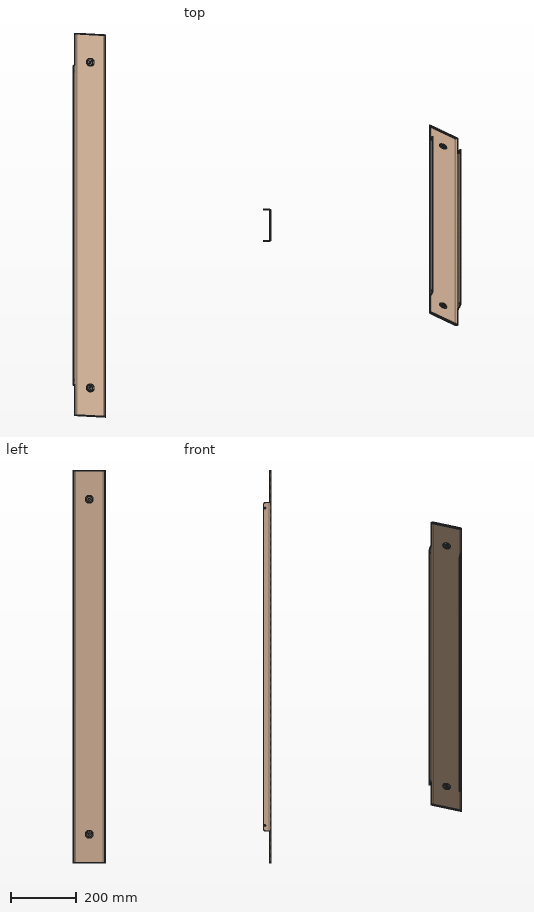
import cadquery as cq

DEPTH = 23.99
WIDTH = 98.11
LENGTH = 1195.0

THICKNESS = 2.0
BEND_INNER_RADIUS = 5.0
BEND_OUTER_RADIUS = BEND_INNER_RADIUS + THICKNESS

RIM_DEPTH = 5.5

FLANGE_LENGTH = 1000.0
FLANGE_CORNER_RADIUS = 8.0
FLANGE_HOLE_DIAMETER = 4.0
FLANGE_HOLE_EDGE_DISTANCE = 5.0
FLANGE_HOLE_END_DISTANCE = 17.5

DIMPLE_END_DISTANCE = 88.0
DIMPLE_BASE_DIAMETER = 24.0
DIMPLE_TOP_DIAMETER = 16.0
DIMPLE_HEIGHT = 3.0
DIMPLE_HOLE_DIAMETER = 6.0

FLANGE_EDGE_X = -DEPTH / 2
WEB_OUTER_X = DEPTH / 2
WEB_INNER_X = WEB_OUTER_X - THICKNESS
RIM_EDGE_X = WEB_OUTER_X - RIM_DEPTH


def box(x_min, x_max, width, length):
    """Block spanning x_min to x_max, centred in Y and Z."""
    return cq.Workplane("XY").box(x_max - x_min, width, length).translate(((x_min + x_max) / 2, 0, 0))


def end_lips():
    """Lips one sheet thick that close both ends of the web up to the rim edge."""
    lip = box(RIM_EDGE_X, WEB_OUTER_X, WIDTH, LENGTH)
    return lip.cut(box(FLANGE_EDGE_X, WEB_OUTER_X, WIDTH, LENGTH - 2 * THICKNESS))


def channel():
    """Full-length U channel with rounded bends and end lips, open toward -X."""
    outer = box(FLANGE_EDGE_X, WEB_OUTER_X, WIDTH, LENGTH).edges(">X and |Z").fillet(BEND_OUTER_RADIUS)
    inner = box(FLANGE_EDGE_X, WEB_INNER_X, WIDTH - 2 * THICKNESS, LENGTH)
    inner = inner.edges(">X and |Z").fillet(BEND_INNER_RADIUS)
    inner = inner.cut(end_lips())
    return outer.cut(inner)


def outline_envelope():
    """Region kept: the shortened, corner-rounded flanges and the full-length web with its rim."""
    flanges = box(FLANGE_EDGE_X, WEB_OUTER_X, WIDTH, FLANGE_LENGTH)
    flanges = flanges.edges("<X and |Y").fillet(FLANGE_CORNER_RADIUS)
    return flanges.union(box(RIM_EDGE_X, WEB_OUTER_X, WIDTH, LENGTH))


def flange_holes():
    """Pins crossing both flanges near each end."""
    hole_x = FLANGE_EDGE_X + FLANGE_HOLE_EDGE_DISTANCE
    hole_z = FLANGE_LENGTH / 2 - FLANGE_HOLE_END_DISTANCE
    return (
        cq.Workplane("XZ")
        .pushPoints([(hole_x, -hole_z), (hole_x, hole_z)])
        .circle(FLANGE_HOLE_DIAMETER / 2)
        .extrude(WIDTH / 2, both=True)
    )


def dimple_cone(base_x, z):
    """Truncated cone rising toward -X from base_x."""
    return cq.Workplane(
        cq.Solid.makeCone(
            DIMPLE_BASE_DIAMETER / 2,
            DIMPLE_TOP_DIAMETER / 2,
            DIMPLE_HEIGHT,
            pnt=cq.Vector(base_x, 0, z),
            dir=cq.Vector(-1, 0, 0),
        )
    )


def add_dimple(body, z):
    """Press a dimple into the web at height z and pierce its centre."""
    hole = (
        cq.Workplane("YZ", origin=(WEB_OUTER_X, 0, z))
        .circle(DIMPLE_HOLE_DIAMETER / 2)
        .extrude(-DEPTH)
    )
    return body.union(dimple_cone(WEB_INNER_X, z)).cut(dimple_cone(WEB_OUTER_X, z)).cut(hole)


result = channel().intersect(outline_envelope()).cut(flange_holes())
dimple_z = LENGTH / 2 - DIMPLE_END_DISTANCE
for z in (-dimple_z, dimple_z):
    result = add_dimple(result, z)